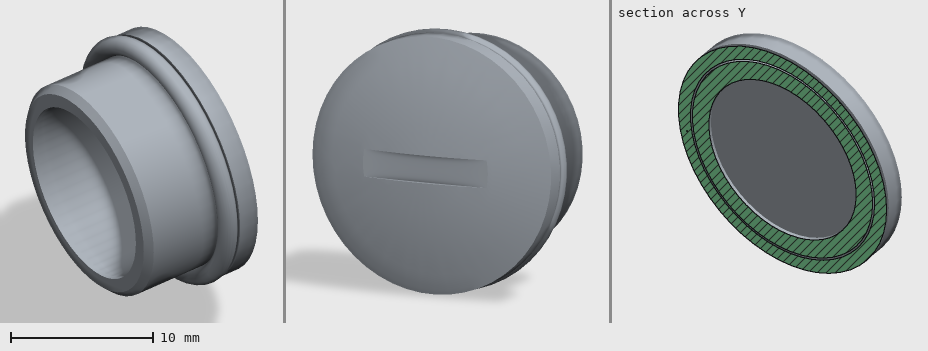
import cadquery as cq

total_length = 9.95
ring_outer_radius = 9.4
ring_tube_diameter = 1.41
ring_tube_radius = ring_tube_diameter / 2
ring_overlap = 0.02
barrel_radius = ring_outer_radius - ring_tube_diameter + ring_overlap
bore_radius = 6.5
barrel_length = 7.0
end_chamfer = 0.5
bore_depth = barrel_length
head_radius = 9.25
rim_thickness = 1.5
slot_width = 2.0
slot_depth = 0.38

head_top = barrel_length + rim_thickness
crown_rise = 0.02
crown_top = total_length + crown_rise
dome_height = crown_top - head_top
dome_radius = (head_radius**2 + dome_height**2) / (2 * dome_height)
dome_mid_radius = head_radius / 2
dome_mid_y = crown_top - dome_radius + (dome_radius**2 - dome_mid_radius**2) ** 0.5


def make_body():
    """Revolve the barrel, bore, rim and dome as one profile about Y."""
    profile = (
        cq.Workplane("XY")
        .moveTo(0, bore_depth)
        .lineTo(bore_radius, bore_depth)
        .lineTo(bore_radius, 0)
        .lineTo(barrel_radius - end_chamfer, 0)
        .lineTo(barrel_radius, end_chamfer)
        .lineTo(barrel_radius, barrel_length)
        .lineTo(head_radius, barrel_length)
        .lineTo(head_radius, head_top)
        .threePointArc((dome_mid_radius, dome_mid_y), (0, crown_top))
        .close()
    )
    return profile.revolve(360, (0, 0, 0), (0, 1, 0))


def make_seal_ring():
    """O-ring under the head, sunk slightly into the barrel and head so they join."""
    ring_center_radius = ring_outer_radius - ring_tube_radius
    ring_center_y = barrel_length - ring_tube_radius + ring_overlap
    return (
        cq.Workplane("XY")
        .center(ring_center_radius, ring_center_y)
        .circle(ring_tube_radius)
        .revolve(360, (-ring_center_radius, 0, 0), (-ring_center_radius, 1, 0))
    )


def make_driver_slot():
    """Straight slot across the crown, running along X."""
    return cq.Workplane("XY").box(
        2 * head_radius, slot_depth + crown_rise, slot_width, centered=(True, False, True)
    ).translate((0, total_length - slot_depth, 0))


result = make_body().union(make_seal_ring()).cut(make_driver_slot())